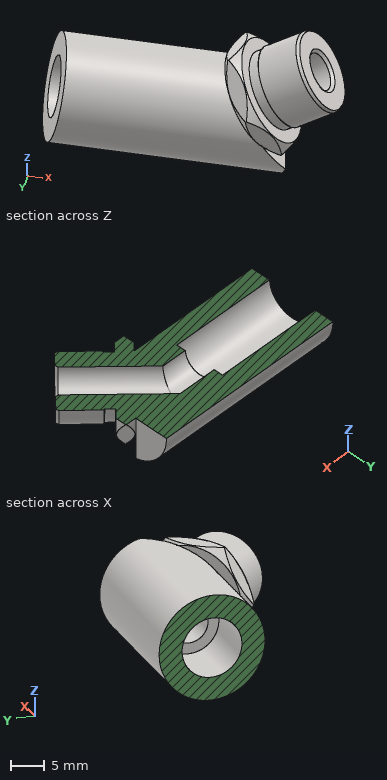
import cadquery as cq
import math

TUBE_LENGTH = 36.0
TUBE_DIAMETER = 17.0
SOCKET_DIAMETER = 9.5
SOCKET_DEPTH = 20.0

BEND_ANGLE = 45.0
BEND_X = 26.1
SEAT_DISTANCE = 5.5

HEX_ACROSS_FLATS = TUBE_DIAMETER
HEX_THICKNESS = 3.0
HEX_FACE_DIAMETER = 16.8

SPIGOT_DIAMETER = 13.15
SPIGOT_LENGTH = 9.0
NECK_DIAMETER = 12.63
NECK_LENGTH = 1.65
NECK_FLANK_LENGTH = 0.15
SPIGOT_CHAMFER_LENGTH = 0.5
SPIGOT_CHAMFER_HEIGHT = 0.25

BORE_DIAMETER = 6.0
BORE_MOUTH_DIAMETER = 6.95
BORE_MOUTH_DEPTH = (BORE_MOUTH_DIAMETER - BORE_DIAMETER) / 2

bend_radians = math.radians(BEND_ANGLE)
outlet_direction = cq.Vector(math.cos(bend_radians), -math.sin(bend_radians), 0)
bend_point = cq.Vector(BEND_X, 0, 0)
outlet_length = SEAT_DISTANCE + HEX_THICKNESS + SPIGOT_LENGTH


def outlet_plane(distance):
    """Horizontal plane holding the outlet axis; its local x runs along the axis, away from the bend."""
    origin = bend_point + outlet_direction * distance
    return cq.Plane(origin=origin, xDir=outlet_direction, normal=(0, 0, 1))


def revolve_on_outlet(distance, profile):
    """Revolve (axial, radial) points about the outlet axis."""
    outline = cq.Workplane(outlet_plane(distance)).polyline(profile).close()
    return outline.revolve(360, (0, 0), (1, 0))


def make_tube():
    """Round tube cut off along the plane of the hexagon's back face."""
    tube = cq.Workplane("YZ").circle(TUBE_DIAMETER / 2).extrude(TUBE_LENGTH)
    beyond_seat = cq.Workplane(outlet_plane(SEAT_DISTANCE)).box(
        TUBE_LENGTH, 2 * TUBE_LENGTH, 2 * TUBE_DIAMETER, centered=(False, True, True)
    )
    return tube.cut(beyond_seat)


def make_hexagon():
    """Hexagon with corners chamfered at 45 degrees on both faces."""
    across_corners = HEX_ACROSS_FLATS / math.cos(math.pi / 6)
    seat = bend_point + outlet_direction * SEAT_DISTANCE
    corner_direction = cq.Vector(math.sin(bend_radians), math.cos(bend_radians), 0)
    cross_plane = cq.Plane(origin=seat, xDir=corner_direction, normal=outlet_direction)
    hexagon = cq.Workplane(cross_plane).polygon(6, across_corners).extrude(HEX_THICKNESS)
    face_radius = HEX_FACE_DIAMETER / 2
    middle = HEX_THICKNESS / 2
    double_cone = revolve_on_outlet(
        SEAT_DISTANCE,
        [
            (0, 0),
            (0, face_radius),
            (middle, face_radius + middle),
            (HEX_THICKNESS, face_radius),
            (HEX_THICKNESS, 0),
        ],
    )
    return hexagon.intersect(double_cone)


def make_spigot():
    """Spigot with a narrower neck at the hexagon and a chamfered free end."""
    neck_radius = NECK_DIAMETER / 2
    radius = SPIGOT_DIAMETER / 2
    return revolve_on_outlet(
        SEAT_DISTANCE + HEX_THICKNESS,
        [
            (0, 0),
            (0, neck_radius),
            (NECK_LENGTH, neck_radius),
            (NECK_LENGTH + NECK_FLANK_LENGTH, radius),
            (SPIGOT_LENGTH - SPIGOT_CHAMFER_LENGTH, radius),
            (SPIGOT_LENGTH, radius - SPIGOT_CHAMFER_HEIGHT),
            (SPIGOT_LENGTH, 0),
        ],
    )


def make_passage():
    """Inlet socket, mitred bore round the bend and chamfered outlet mouth."""
    socket = cq.Workplane("YZ").circle(SOCKET_DIAMETER / 2).extrude(SOCKET_DEPTH)
    outlet_end = bend_point + outlet_direction * outlet_length
    path = cq.Workplane("XY").polyline([(0, 0), (BEND_X, 0), (outlet_end.x, outlet_end.y)])
    bore = cq.Workplane("YZ").circle(BORE_DIAMETER / 2).sweep(path, transition="right")
    mouth = revolve_on_outlet(
        outlet_length,
        [
            (0, 0),
            (0, BORE_MOUTH_DIAMETER / 2),
            (-BORE_MOUTH_DEPTH, BORE_DIAMETER / 2),
            (-BORE_MOUTH_DEPTH, 0),
        ],
    )
    return socket.union(bore).union(mouth)


result = make_tube().union(make_hexagon()).union(make_spigot()).cut(make_passage())